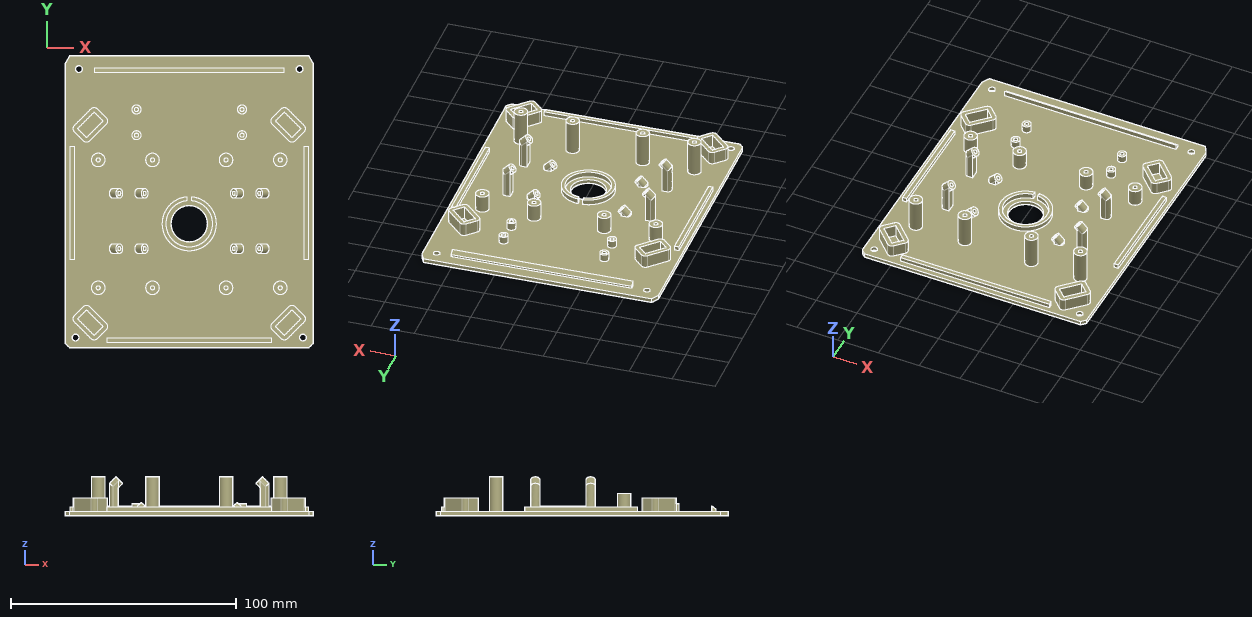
import cadquery as cq
import math

overall_height = 17.46
plate_width = 110.0
plate_length = 129.61
plate_thickness = 2.0
corner_cut_x = 2.0
front_corner_cut_y = 2.0
rear_corner_cut_y = 3.5
half_width = plate_width / 2
half_length = plate_length / 2

screw_hole_diameter = 2.9
rear_screw_x, rear_screw_y = 48.9, 58.8
front_screw_x, front_screw_y = 50.4, -60.2

rib_width = 2.0
rib_height = 2.0
side_rib_x = 51.9
side_rib_y = -0.5
side_rib_length = 50.0
front_rib_y = -61.3
front_rib_length = 73.0
rear_rib_y = 58.4
rear_rib_length = 84.0
rear_rib_outer_height = 1.0
rear_rib_inner_height = 2.5

socket_pocket_length = 10.4
socket_pocket_width = 5.6
socket_wall = 2.0
socket_height = 6.0
socket_x = 43.85
rear_socket_y = 34.1
front_socket_y = -53.6
socket_angle = 45.0

opening_diameter = 16.0
opening_y = -9.75
collar_outer_diameter = 24.0
collar_inner_diameter = 20.6
collar_height = 2.5
collar_gap = 2.2

pilot_hole_diameter = 1.8
post_diameter = 6.0
post_columns_x = (16.3, 40.35)
front_post_y = -38.15
front_post_height = overall_height - plate_thickness
rear_post_y = 18.55
rear_post_height = 8.0
boss_diameter = 4.0
boss_height = 3.5
boss_x = 23.4
boss_rows_y = (29.5, 40.9)

sleeve_diameter = 4.2
sleeve_length = 4.1
sleeve_tilt = 45.0
sleeve_rows_y = (3.72, -20.8)
outer_sleeve_mouth_x = 31.0
outer_sleeve_top_z = 17.4
inner_sleeve_mouth_x = 19.75
inner_sleeve_top_z = 6.05
stem_wall_offset = 0.4

SIDES = (-1, 1)


def make_plate():
    outline = [
        (half_width - corner_cut_x, half_length),
        (half_width, half_length - rear_corner_cut_y),
        (half_width, -half_length + front_corner_cut_y),
        (half_width - corner_cut_x, -half_length),
    ]
    mirrored = [(-x, y) for x, y in reversed(outline)]
    return cq.Workplane("XY").polyline(outline + mirrored).close().extrude(plate_thickness)


def on_plate():
    return cq.Workplane("XY").workplane(offset=plate_thickness)


def make_rib(x, y, size_x, size_y):
    return on_plate().center(x, y).rect(size_x, size_y).extrude(rib_height)


def make_rear_rib():
    """Rib whose top slopes down towards the rear edge of the plate."""
    inner_y = rear_rib_y - rib_width / 2
    outer_y = rear_rib_y + rib_width / 2
    profile = [
        (inner_y, plate_thickness),
        (outer_y, plate_thickness),
        (outer_y, plate_thickness + rear_rib_outer_height),
        (inner_y, plate_thickness + rear_rib_inner_height),
    ]
    return cq.Workplane("YZ").polyline(profile).close().extrude(rear_rib_length / 2, both=True)


def make_socket(x, y, angle):
    outer_length = socket_pocket_length + 2 * socket_wall
    outer_width = socket_pocket_width + 2 * socket_wall
    block = on_plate().rect(outer_length, outer_width).extrude(socket_height)
    block = block.edges("|Z").fillet(socket_wall)
    pocket = on_plate().rect(socket_pocket_length, socket_pocket_width).extrude(socket_height)
    return block.cut(pocket).rotate((0, 0, 0), (0, 0, 1), angle).translate((x, y, 0))


def make_collar():
    """Ring with a gap on its rear side."""
    ring = on_plate().circle(collar_outer_diameter / 2).circle(collar_inner_diameter / 2)
    ring = ring.extrude(collar_height)
    gap_length = collar_outer_diameter / 2
    gap = on_plate().center(0, gap_length / 2).rect(collar_gap, gap_length).extrude(collar_height)
    return ring.cut(gap).translate((0, opening_y, 0))


def make_post(x, y, diameter, height):
    """Round post with a pilot hole reaching down to the plate."""
    profile = on_plate().center(x, y).circle(diameter / 2).circle(pilot_hole_diameter / 2)
    return profile.extrude(height)


def make_sleeve(mouth_x, top_z, y):
    """Tilted sleeve on the +X side, with a stem that drops from it to the plate."""
    tilt = math.radians(sleeve_tilt)
    radius = sleeve_diameter / 2
    mouth_z = top_z - radius * math.cos(tilt)
    tail_x = mouth_x + sleeve_length * math.cos(tilt)
    tail_z = mouth_z - sleeve_length * math.sin(tilt)

    axis = cq.Vector(-math.cos(tilt), 0, math.sin(tilt))
    tail = cq.Vector(tail_x, y, tail_z)
    sleeve = cq.Workplane(cq.Solid.makeCylinder(radius, sleeve_length, tail, axis))
    bore = cq.Workplane(cq.Solid.makeCylinder(pilot_hole_diameter / 2, sleeve_length, tail, axis))

    wall_x = mouth_x + stem_wall_offset
    tail_depth = radius * math.sin(tilt)
    block = cq.Workplane("XY").center((wall_x + tail_x) / 2, y)
    block = block.rect(tail_x - wall_x, sleeve_diameter).extrude(top_z)
    back = cq.Workplane("XY").center(tail_x, y).ellipse(tail_depth, radius).extrude(top_z)

    profile = [
        (wall_x, 0),
        (wall_x, mouth_z - stem_wall_offset * math.tan(tilt)),
        (tail_x, tail_z),
        (tail_x + tail_depth, tail_z + tail_depth),
        (tail_x + tail_depth, 0),
    ]
    keep = cq.Workplane("XZ", origin=(0, y, 0)).polyline(profile).close().extrude(radius, both=True)
    stem = block.union(back).intersect(keep)

    below_plate = cq.Workplane("XY").rect(plate_width, plate_length).extrude(-sleeve_length)
    return sleeve.union(stem).cut(bore).cut(below_plate)


def mirror_sides(shape):
    return shape.union(shape.mirror("YZ"))


result = make_plate()
result = result.union(make_rib(0, front_rib_y, front_rib_length, rib_width))
result = result.union(make_rear_rib())
result = result.union(make_collar())
for side in SIDES:
    result = result.union(make_rib(side * side_rib_x, side_rib_y, rib_width, side_rib_length))
    result = result.union(make_socket(side * socket_x, rear_socket_y, -side * socket_angle))
    result = result.union(make_socket(side * socket_x, front_socket_y, side * socket_angle))
    for x in post_columns_x:
        result = result.union(make_post(side * x, front_post_y, post_diameter, front_post_height))
        result = result.union(make_post(side * x, rear_post_y, post_diameter, rear_post_height))
    for y in boss_rows_y:
        result = result.union(make_post(side * boss_x, y, boss_diameter, boss_height))

for y in sleeve_rows_y:
    result = result.union(mirror_sides(make_sleeve(outer_sleeve_mouth_x, outer_sleeve_top_z, y)))
    result = result.union(mirror_sides(make_sleeve(inner_sleeve_mouth_x, inner_sleeve_top_z, y)))

screw_positions = []
for side in SIDES:
    screw_positions.append((side * rear_screw_x, rear_screw_y))
    screw_positions.append((side * front_screw_x, front_screw_y))
screw_holes = cq.Workplane("XY").pushPoints(screw_positions).circle(screw_hole_diameter / 2)
opening = cq.Workplane("XY").center(0, opening_y).circle(opening_diameter / 2)
result = result.cut(screw_holes.extrude(plate_thickness)).cut(opening.extrude(plate_thickness))